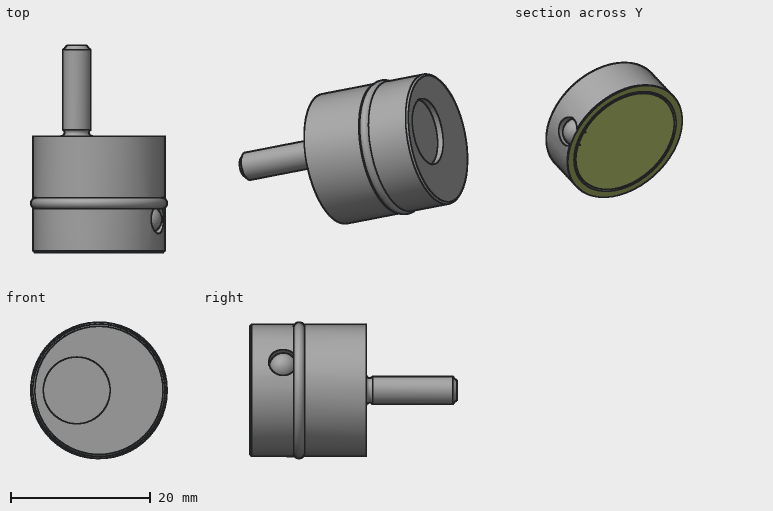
import cadquery as cq
import math

TOTAL_LENGTH = 29.65
HOUSING_LENGTH = 16.65
HOUSING_RADIUS = 9.45
FRONT_CHAMFER = 0.3

RING_OUTER_RADIUS = 9.75
RING_THICKNESS = 1.57
RING_Y = 7.05
RING_SECTION_RADIUS = RING_THICKNESS / 2
RING_CENTRE_RADIUS = RING_OUTER_RADIUS - RING_SECTION_RADIUS
GROOVE_FLOOR_RADIUS = RING_OUTER_RADIUS - RING_THICKNESS

ECCENTRICITY = 3.17
RECESS_RADIUS = 4.77
RECESS_DEPTH = 0.9
STUD_RADIUS = 2.02
STUD_ROOT_RADIUS = 2.25
UNDERCUT_RADIUS = 0.47
TIP_RADIUS = 1.4
TIP_SHOULDER_RADIUS = 1.75
TIP_SHOULDER_SETBACK = 0.45
TIP_LENGTH = 0.62

NOSE_Y = 4.77
NOSE_ANGLE = 25.5
HOLE_RADIUS = 2.05
NOSE_RADIUS = 2.02
NOSE_CENTRE_RADIUS = RING_OUTER_RADIUS - NOSE_RADIUS


def cylinder(axis_x, start_y, radius, length):
    """Cylinder along +Y from start_y, with its axis at X = axis_x."""
    return cq.Workplane(cq.Solid.makeCylinder(
        radius, length, cq.Vector(axis_x, start_y, 0), cq.Vector(0, 1, 0)))


def make_barrel():
    barrel = cylinder(0, 0, HOUSING_RADIUS, HOUSING_LENGTH)
    return barrel.faces("<Y").chamfer(FRONT_CHAMFER)


def make_stud():
    """Turned stud with a round undercut at its root and a two-step tip cone."""
    undercut_y = HOUSING_LENGTH + UNDERCUT_RADIUS
    neck_radius = STUD_ROOT_RADIUS - UNDERCUT_RADIUS
    root_to_shank = STUD_ROOT_RADIUS - STUD_RADIUS
    shank_start = undercut_y + math.sqrt(UNDERCUT_RADIUS**2 - root_to_shank**2)
    profile = (
        cq.Workplane("XY")
        .moveTo(0, HOUSING_LENGTH)
        .lineTo(STUD_ROOT_RADIUS, HOUSING_LENGTH)
        .threePointArc((neck_radius, undercut_y), (STUD_RADIUS, shank_start))
        .lineTo(STUD_RADIUS, TOTAL_LENGTH - TIP_LENGTH)
        .lineTo(TIP_SHOULDER_RADIUS, TOTAL_LENGTH - TIP_SHOULDER_SETBACK)
        .lineTo(TIP_RADIUS, TOTAL_LENGTH)
        .lineTo(0, TOTAL_LENGTH)
        .close()
    )
    stud = profile.revolve(360, (0, 0), (0, 1))
    return stud.translate((-ECCENTRICITY, 0, 0))


def make_recess():
    return cylinder(-ECCENTRICITY, 0, RECESS_RADIUS, RECESS_DEPTH)


def nose_direction():
    angle = math.radians(NOSE_ANGLE)
    return cq.Vector(math.cos(angle), 0, math.sin(angle))


def nose_centre():
    return nose_direction() * NOSE_CENTRE_RADIUS + cq.Vector(0, NOSE_Y, 0)


def make_nose_hole():
    return cq.Workplane(cq.Solid.makeCylinder(
        HOLE_RADIUS, HOUSING_RADIUS, nose_centre(), nose_direction()))


def make_nose():
    return cq.Workplane("XY").sphere(NOSE_RADIUS).translate(nose_centre())


def make_groove():
    start_y = RING_Y - RING_SECTION_RADIUS
    outer = cylinder(0, start_y, RING_OUTER_RADIUS, RING_THICKNESS)
    return outer.cut(cylinder(0, start_y, GROOVE_FLOOR_RADIUS, RING_THICKNESS))


def make_housing():
    barrel = make_barrel().cut(make_recess())
    barrel = barrel.cut(make_nose_hole()).union(make_nose())
    return barrel.cut(make_groove()).union(make_stud())


def make_ring():
    section = cq.Workplane("XY").center(RING_CENTRE_RADIUS, RING_Y).circle(RING_SECTION_RADIUS)
    return section.revolve(360, (-RING_CENTRE_RADIUS, 0), (-RING_CENTRE_RADIUS, 1))


housing = make_housing()
sealing_ring = make_ring()
result = cq.Compound.makeCompound([housing.solids().val(), sealing_ring.solids().val()])